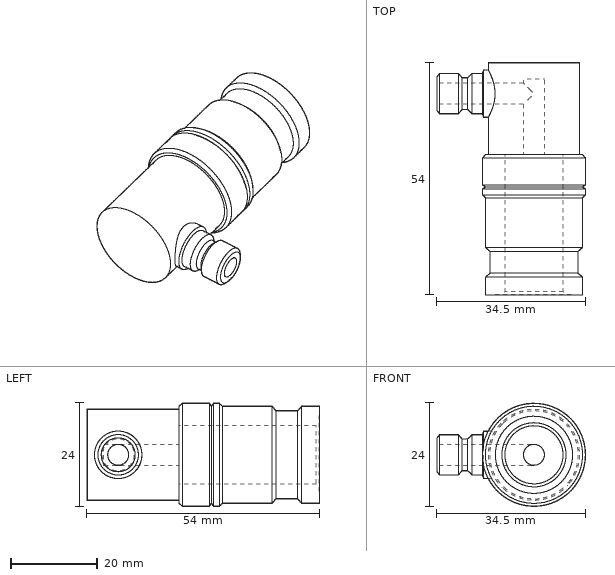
import cadquery as cq

length = 54.0
flange_radius = 12.0
barrel_radius = 11.3
waist_radius = 10.25
rear_radius = 10.6
rim_end = 4.15
waist_start = 5.1
waist_end = 10.15
barrel_start = 11.0
flange_start = 22.55
flange_bevel_end = 23.3
groove_start = 24.6
groove_end = 25.6
groove_middle = (groove_start + groove_end) / 2
groove_radius = 11.3
rear_bevel_start = 31.8
flange_end = 32.65

recess_radius = 8.95
recess_depth = 0.1
bore_radius = 6.75
bore_chamfer = 0.7
bore_depth = flange_end
passage_radius = 2.45
passage_end = 50.2

port_y = 46.75
port_reach = 22.5
port_radius = 4.7
port_tip_radius = 3.95
tip_bevel_start = 21.9
neck_radius = 3.7
neck_outer_bevel = 17.55
neck_outer = 16.7
neck_inner = 15.4
neck_inner_bevel = 14.35
collar_radius = 5.5
collar_reach = 11.65
collar_face_start = 12.0


def make_body():
    """Turned body with a waist, a grooved flange and a plain rear barrel."""
    profile = [
        (0, 0),
        (barrel_radius, 0),
        (barrel_radius, rim_end),
        (waist_radius, waist_start),
        (waist_radius, waist_end),
        (barrel_radius, barrel_start),
        (barrel_radius, flange_start),
        (flange_radius, flange_bevel_end),
        (flange_radius, groove_start),
        (groove_radius, groove_middle),
        (flange_radius, groove_end),
        (flange_radius, rear_bevel_start),
        (barrel_radius, flange_end),
        (rear_radius, flange_end),
        (rear_radius, length),
        (0, length),
    ]
    return cq.Workplane("XY").polyline(profile).close().revolve(360, (0, 0), (0, 1))


def make_port():
    """Side port with a necked spigot and a conical-faced collar merging into the rear barrel."""
    profile = [
        (0, 0),
        (0, collar_radius),
        (collar_reach, collar_radius),
        (collar_face_start, port_radius),
        (neck_inner_bevel, port_radius),
        (neck_inner, neck_radius),
        (neck_outer, neck_radius),
        (neck_outer_bevel, port_radius),
        (tip_bevel_start, port_radius),
        (port_reach, port_tip_radius),
        (port_reach, 0),
    ]
    points = [(-x, port_y + radius) for x, radius in profile]
    return cq.Workplane("XY").polyline(points).close().revolve(360, (0, port_y), (1, port_y))


def make_socket():
    """Shallow face recess, chamfered bore and narrow blind passage running just past the port."""
    profile = [
        (0, 0),
        (recess_radius, 0),
        (recess_radius, recess_depth),
        (bore_radius + bore_chamfer, recess_depth),
        (bore_radius, recess_depth + bore_chamfer),
        (bore_radius, bore_depth),
        (passage_radius, bore_depth),
        (passage_radius, passage_end),
        (0, passage_end),
    ]
    return cq.Workplane("XY").polyline(profile).close().revolve(360, (0, 0), (0, 1))


def make_port_passage():
    """Cross passage from the port mouth to the body axis."""
    start = cq.Workplane("YZ").center(port_y, 0)
    return start.circle(passage_radius).extrude(-port_reach)


result = make_body().union(make_port()).cut(make_socket()).cut(make_port_passage())